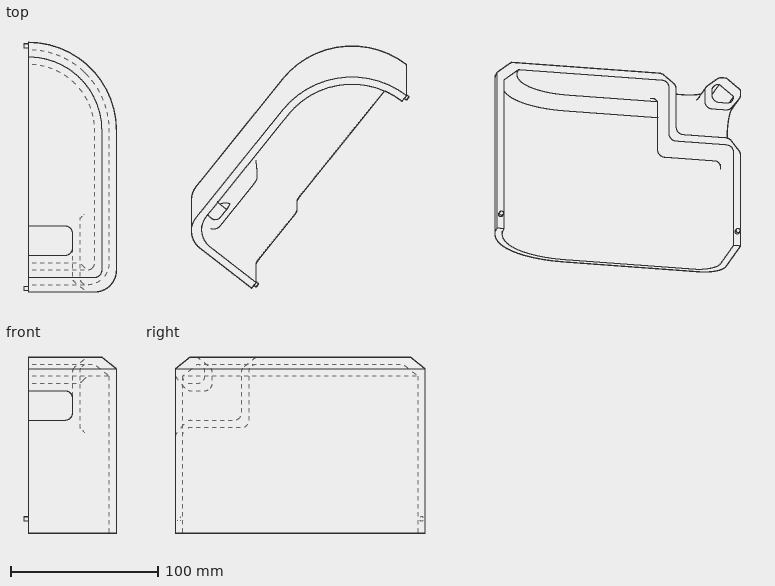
import cadquery as cq
import math


half_width = 60.0
length = 170.0
height = 119.85
wall = 5.0
front_corner_radius = 15.0
rear_corner_radius = half_width

slope_inset = 10.0
slope_depth = 8.0
slope_angle = math.degrees(math.atan2(slope_inset, slope_depth))

channel_width = 20.0
channel_half_depth = 30.0
channel_rear = 45.0
channel_drop = 43.0
channel_floor = height - channel_drop
channel_fillet = 5.0
mouth_corner_radius = channel_fillet + slope_inset
mouth_fillet = 5.0

cavity_fillet = 4.9

pin_diameter = 3.0
pin_length = 3.0
pin_height = 9.85
pin_inset = wall / 2

tolerance = 0.01


def edges_on_top_plane(z, half_x, y_range):
    """Selector for edges lying at height z inside the given X and Y limits."""
    return cq.selectors.BoxSelector(
        (-half_x - tolerance, y_range[0] - tolerance, z - tolerance),
        (half_x + tolerance, y_range[1] + tolerance, z + tolerance),
        boundingbox=True,
    )


def edges_on_front_plane(y, half_x, z_range):
    """Selector for edges lying at depth y inside the given X and Z limits."""
    return cq.selectors.BoxSelector(
        (-half_x - tolerance, y - tolerance, z_range[0] - tolerance),
        (half_x + tolerance, y + tolerance, z_range[1] + tolerance),
        boundingbox=True,
    )


def sloped_block(inset, top):
    """Full-width block, inset from the housing outline, with a sloped band at its top."""
    half_x = half_width - inset
    rear_centre = length - rear_corner_radius
    block = (
        cq.Workplane("XY")
        .moveTo(-half_x, inset)
        .lineTo(half_x, inset)
        .lineTo(half_x, rear_centre)
        .threePointArc((0, rear_centre + half_x), (-half_x, rear_centre))
        .close()
        .extrude(top - slope_depth)
        .edges("|Z and <Y")
        .fillet(front_corner_radius)
    )
    rim = block.faces(">Z").wires().toPending().workplane()
    cap = rim.extrude(slope_depth, taper=slope_angle, combine=False)
    return block.union(cap)


def l_bar(front, top, growth, bend_radius):
    """L-shaped bar along the channel, enlarged all round by growth, with rounded bends.

    Its two arms end at the given front (Y) and top (Z) positions.
    """
    floor = channel_floor - growth
    rear = channel_rear + growth
    thickness = channel_width + 2 * growth
    inner_y = rear - thickness
    inner_z = floor + thickness
    bar = (
        cq.Workplane("YZ")
        .moveTo(front, floor)
        .lineTo(rear, floor)
        .lineTo(rear, top)
        .lineTo(inner_y, top)
        .lineTo(inner_y, inner_z)
        .lineTo(front, inner_z)
        .close()
        .extrude(channel_half_depth + growth, both=True)
    )
    outer_bend = cq.selectors.NearestToPointSelector((0, rear, floor))
    inner_bend = cq.selectors.NearestToPointSelector((0, inner_y, inner_z))
    for bend in (outer_bend, inner_bend):
        bar = bar.edges("|X").edges(bend).fillet(bend_radius)
    return bar


def channel_mouth(plane, centre):
    """Flared mouth, widest on the given plane and narrowing along the plane's normal."""
    return (
        cq.Workplane(plane)
        .center(0, centre)
        .sketch()
        .rect(2 * (channel_half_depth + slope_inset), channel_width + 2 * slope_inset)
        .vertices()
        .fillet(mouth_corner_radius)
        .finalize()
        .extrude(slope_depth, taper=slope_angle)
    )


def channel_cutter():
    """L-shaped channel with rounded side walls and a flared mouth at each end."""
    throat_y = slope_depth
    throat_z = height - slope_depth
    bar = l_bar(throat_y, throat_z, 0, channel_fillet)

    between_ends = cq.selectors.BoxSelector(
        (-half_width, throat_y + tolerance, 0),
        (half_width, length, throat_z - tolerance),
    )
    cutter = bar.faces("|X").edges(between_ends).fillet(channel_fillet)

    top_plane = cq.Plane((0, 0, height), xDir=(1, 0, 0), normal=(0, 0, -1))
    front_plane = cq.Plane((0, 0, 0), xDir=(-1, 0, 0), normal=(0, 1, 0))
    cutter = cutter.union(channel_mouth(top_plane, channel_width / 2 - channel_rear))
    cutter = cutter.union(channel_mouth(front_plane, channel_floor + channel_width / 2))

    top_throat = edges_on_top_plane(throat_z, channel_half_depth, (0, channel_rear))
    front_throat = edges_on_front_plane(throat_y, channel_half_depth, (channel_floor, height))
    return cutter.edges(top_throat + front_throat).fillet(channel_fillet)


def outer_body():
    """Outer block with the channel cut and both channel mouths rounded over."""
    body = sloped_block(0, height).cut(channel_cutter())
    mouth_half_x = channel_half_depth + slope_inset
    mouth_front = channel_rear - channel_width - slope_inset
    mouth_rear = channel_rear + slope_inset
    mouth_bottom = channel_floor - slope_inset
    mouth_top = channel_floor + channel_width + slope_inset
    top_rim = edges_on_top_plane(height, mouth_half_x, (mouth_front, mouth_rear))
    front_rim = edges_on_front_plane(0, mouth_half_x, (mouth_bottom, mouth_top))
    return body.edges(top_rim + front_rim).fillet(mouth_fillet)


def cavity():
    """Interior space, one wall inside the outer block and around the channel."""
    ceiling = height - wall
    space = sloped_block(wall, ceiling).cut(l_bar(0, height, wall, cavity_fillet))
    half_x = channel_half_depth + wall
    rear = channel_rear + wall
    bottom = channel_floor - wall
    arm_thickness = channel_width + 2 * wall
    at_ceiling = edges_on_top_plane(ceiling, half_x, (rear - arm_thickness, rear))
    at_front = edges_on_front_plane(wall, half_x, (bottom, bottom + arm_thickness))
    return space.edges(at_ceiling + at_front).fillet(cavity_fillet)


def kept_half():
    """Block covering everything on the +X side of the split plane."""
    return cq.Workplane("XY").box(half_width, length, height, centered=False)


def locating_pin(y):
    """Pin standing out of the split face towards -X."""
    return cq.Workplane("YZ").center(y, pin_height).circle(pin_diameter / 2).extrude(-pin_length)


result = outer_body().cut(cavity()).intersect(kept_half())
for pin_y in (pin_inset, length - pin_inset):
    result = result.union(locating_pin(pin_y))